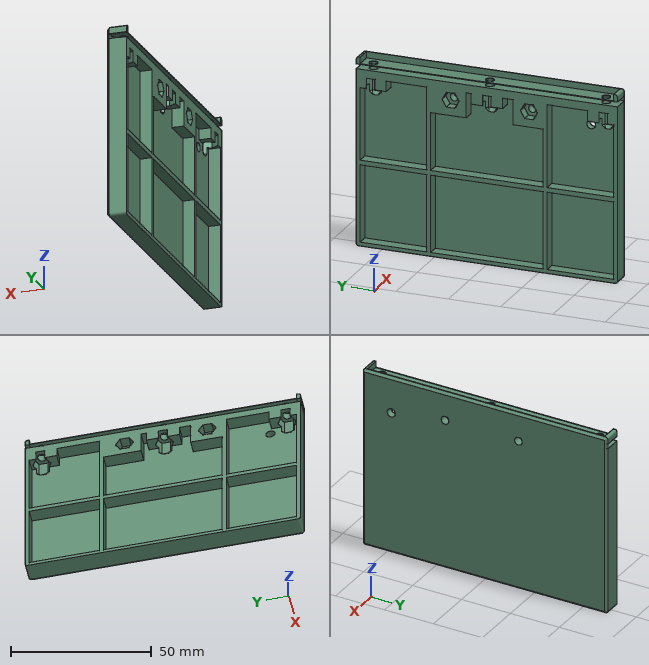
import cadquery as cq
import math

depth = 7.4
width = 100.0
height = 71.8
corner_radius = 1.0
back_bevel = 0.95

wall = 1.5
pocket_floor = 4.5
mid_rib_y = 22.3
cross_rib_bottom = 30.9
cross_rib_top = 32.7
pocket_top = 64.2

slot_bottom = 67.3
slot_top = 69.1
slot_depth = 6.5
sheet = 0.3
lip_back = 6.1

nut_flats = 5.6

screw_spacing = 44.5
screw_x = 2.9
screw_diameter = 3.1
channel_bottom = 57.7
channel_tip = 2.7
channel_taper = 45.0
channel_mouth = 3.2
boss_width = 12.0
boss_bottom = 60.2

bolt_middle_y = -1.1
bolt_spacing = 30.0
bolt_z = 60.5
bolt_diameter = 3.1
nut_depth = 3.6
bolt_boss_bottom = 54.7

side_hole_y = -38.1
side_hole_z = 57.3
side_hole_diameter = 3.3

hexagon_sides = 6

screw_ys = [-screw_spacing, 0, screw_spacing]
bolt_ys = [bolt_middle_y - bolt_spacing / 2, bolt_middle_y + bolt_spacing / 2]


def block(x0, x1, y0, y1, z0, z1):
    """Box between the given limits."""
    return cq.Workplane("XY").box(x1 - x0, y1 - y0, z1 - z0, centered=False).translate((x0, y0, z0))


def through_x(diameter, y, z, length):
    """Round cutter along X, starting at the open face."""
    return cq.Workplane("YZ").center(y, z).circle(diameter / 2).extrude(length)


def across_corners(flats):
    """Corner-to-corner size of a hexagon from its size across flats."""
    return flats / math.cos(math.pi / hexagon_sides)


def panel():
    """Solid panel with rounded long corners and a bevelled back."""
    body = block(0, depth, -width / 2, width / 2, 0, height)
    return body.edges("|X").fillet(corner_radius).faces(">X").chamfer(back_bevel)


def pockets():
    """Six rectangular pockets, less the bosses that stand in the upper ones."""
    inner = width / 2 - wall
    rib_near = mid_rib_y - wall / 2
    rib_far = mid_rib_y + wall / 2
    columns = [(-inner, -rib_far), (-rib_near, rib_near), (rib_far, inner)]
    rows = [(wall, cross_rib_bottom), (cross_rib_top, pocket_top)]
    space = cq.Workplane("XY")
    for y0, y1 in columns:
        for z0, z1 in rows:
            space = space.add(block(0, pocket_floor, y0, y1, z0, z1))
    space = space.combine()
    for y in screw_ys:
        half = boss_width / 2
        space = space.cut(block(0, pocket_floor, y - half, y + half, boss_bottom, pocket_top))
    bolt_boss_half = bolt_spacing / 2 - boss_width / 2
    right_edge = bolt_middle_y - bolt_boss_half
    left_edge = bolt_middle_y + bolt_boss_half
    space = space.cut(block(0, pocket_floor, -rib_near, right_edge, bolt_boss_bottom, pocket_top))
    return space.cut(block(0, pocket_floor, left_edge, rib_near, bolt_boss_bottom, pocket_top))


def upper_edge():
    """Slot right across the panel and the open recess above the thin sheet."""
    half = width / 2
    slot = block(0, slot_depth, -half, half, slot_bottom, slot_top)
    recess = block(0, lip_back, -half + wall, half - wall, slot_top + sheet, height)
    return slot.union(recess)


def nut_channel(y):
    """Upright hexagonal channel with a pyramid tip, open to the front, and its screw hole."""
    corners = across_corners(nut_flats)
    flat_to_front = 180 / hexagon_sides
    hexagon = cq.Workplane("XY").polygon(hexagon_sides, corners).extrude(pocket_top - channel_bottom)
    tip = cq.Workplane("XY").polygon(hexagon_sides, corners).extrude(-channel_tip, taper=channel_taper)
    channel = hexagon.union(tip).rotate((0, 0, 0), (0, 0, 1), flat_to_front)
    channel = channel.translate((screw_x, y, channel_bottom))
    mouth = block(0, screw_x, y - channel_mouth / 2, y + channel_mouth / 2, channel_bottom, pocket_top)
    screw = cq.Workplane("XY").circle(screw_diameter / 2).extrude(height - pocket_top)
    return channel.union(mouth).union(screw.translate((screw_x, y, pocket_top)))


def bolt_hole(y):
    """Hexagonal nut recess in the open face with a bolt hole through the back."""
    corners = across_corners(nut_flats)
    recess = cq.Workplane("YZ").center(y, bolt_z).polygon(hexagon_sides, corners).extrude(nut_depth)
    return recess.union(through_x(bolt_diameter, y, bolt_z, depth))


result = panel().cut(pockets()).cut(upper_edge())
for y in screw_ys:
    result = result.cut(nut_channel(y))
for y in bolt_ys:
    result = result.cut(bolt_hole(y))
result = result.cut(through_x(side_hole_diameter, side_hole_y, side_hole_z, depth))